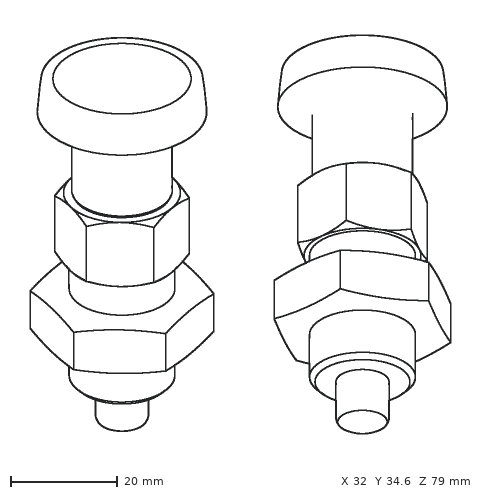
import cadquery as cq
import math

total_height = 79.0

pin_radius = 10.0 / 2
pin_tip_radius = 4.7
pin_tip_height = 1.5
pin_round_height = 1.4
pin_round_top_z = pin_tip_height + pin_round_height
pin_round_bulge = 0.15

body_radius = 20.0 / 2
body_bottom_z = 10.0
body_chamfer = 1.0

nut_width = 30.0
nut_bottom_z = 20.1
nut_height = 10.0
nut_face_radius = 14.2
nut_bevel_angle = 16.5

collar_width = 22.05
collar_bottom_z = 37.0
collar_height = 14.1
collar_face_radius = collar_width / 2
collar_bevel_angle = 30.0
collar_top_z = collar_bottom_z + collar_height

stem_radius = 18.95 / 2
stem_chamfer_height = 0.5
stem_chamfer_depth = 0.2
stem_fillet = 0.55
head_neck_z = 67.5
head_rim_z = 68.7
head_rim_radius = 32.0 / 2
head_top_z = 76.0
head_top_radius = 15.25
head_side_bulge = 0.1
head_underside_sag = 0.15
rim_edge_round = 0.15
rim_search_margin = 0.1
dome_radius = 13.0


def bevelled_hexagon(width, bottom_z, height, face_radius, bevel_angle):
    """Hexagon with corners on the Y axis, bevelled by a cone at both ends."""
    corner_radius = width / math.sqrt(3)
    bevel_height = (corner_radius - face_radius) * math.tan(math.radians(bevel_angle))
    prism = (
        cq.Workplane("XY")
        .workplane(offset=bottom_z)
        .polygon(6, 2 * corner_radius)
        .extrude(height)
        .rotate((0, 0, 0), (0, 0, 1), 30)
    )
    top_z = bottom_z + height
    envelope = (
        cq.Workplane("XZ")
        .moveTo(0, bottom_z)
        .lineTo(face_radius, bottom_z)
        .lineTo(corner_radius, bottom_z + bevel_height)
        .lineTo(corner_radius, top_z - bevel_height)
        .lineTo(face_radius, top_z)
        .lineTo(0, top_z)
        .close()
        .revolve(360, (0, 0, 0), (0, 1, 0))
    )
    return prism.intersect(envelope)


def pin_and_body():
    """Domed pin and chamfered sleeve, running up into the collar."""
    tip_sphere = (pin_tip_radius**2 + pin_tip_height**2) / (2 * pin_tip_height)
    half_angle = math.asin(pin_tip_radius / tip_sphere) / 2
    tip_mid = (tip_sphere * math.sin(half_angle), tip_sphere * (1 - math.cos(half_angle)))
    round_mid = (
        (pin_radius + pin_tip_radius) / 2 + pin_round_bulge,
        pin_tip_height + pin_round_height / 2,
    )
    return (
        cq.Workplane("XZ")
        .moveTo(0, 0)
        .threePointArc(tip_mid, (pin_tip_radius, pin_tip_height))
        .threePointArc(round_mid, (pin_radius, pin_round_top_z))
        .lineTo(pin_radius, body_bottom_z)
        .lineTo(body_radius - body_chamfer, body_bottom_z)
        .lineTo(body_radius, body_bottom_z + body_chamfer)
        .lineTo(body_radius, collar_top_z)
        .lineTo(0, collar_top_z)
        .close()
        .revolve(360, (0, 0, 0), (0, 1, 0))
    )


def knob():
    """Stem with a small lower chamfer, below the domed head."""
    dome_height = total_height - head_top_z
    dome_sphere = (dome_radius**2 + dome_height**2) / (2 * dome_height)
    half_angle = math.asin(dome_radius / dome_sphere) / 2
    dome_mid = (
        dome_sphere * math.sin(half_angle),
        total_height - dome_sphere * (1 - math.cos(half_angle)),
    )
    neck_radius = stem_radius + stem_fillet
    fillet_reach = stem_fillet * (1 - math.sqrt(0.5))
    neck_mid = (stem_radius + fillet_reach, head_neck_z - fillet_reach)
    underside_mid = (
        (neck_radius + head_rim_radius) / 2,
        (head_neck_z + head_rim_z) / 2 - head_underside_sag,
    )
    side_mid = (
        (head_rim_radius + head_top_radius) / 2 + head_side_bulge,
        (head_rim_z + head_top_z) / 2,
    )
    rim_selector = cq.selectors.BoxSelector(
        (-head_rim_radius, -head_rim_radius, head_top_z - rim_search_margin),
        (head_rim_radius, head_rim_radius, head_top_z + rim_search_margin),
    )
    return (
        cq.Workplane("XZ")
        .moveTo(0, collar_top_z)
        .lineTo(stem_radius - stem_chamfer_depth, collar_top_z)
        .lineTo(stem_radius, collar_top_z + stem_chamfer_height)
        .lineTo(stem_radius, head_neck_z - stem_fillet)
        .threePointArc(neck_mid, (neck_radius, head_neck_z))
        .threePointArc(underside_mid, (head_rim_radius, head_rim_z))
        .threePointArc(side_mid, (head_top_radius, head_top_z))
        .lineTo(dome_radius, head_top_z)
        .threePointArc(dome_mid, (0, total_height))
        .close()
        .revolve(360, (0, 0, 0), (0, 1, 0))
        .edges(rim_selector)
        .edges(cq.selectors.RadiusNthSelector(-1))
        .fillet(rim_edge_round)
    )


lock_nut = bevelled_hexagon(nut_width, nut_bottom_z, nut_height, nut_face_radius, nut_bevel_angle)
collar = bevelled_hexagon(
    collar_width, collar_bottom_z, collar_height, collar_face_radius, collar_bevel_angle
)
result = pin_and_body().union(lock_nut).union(collar).union(knob())